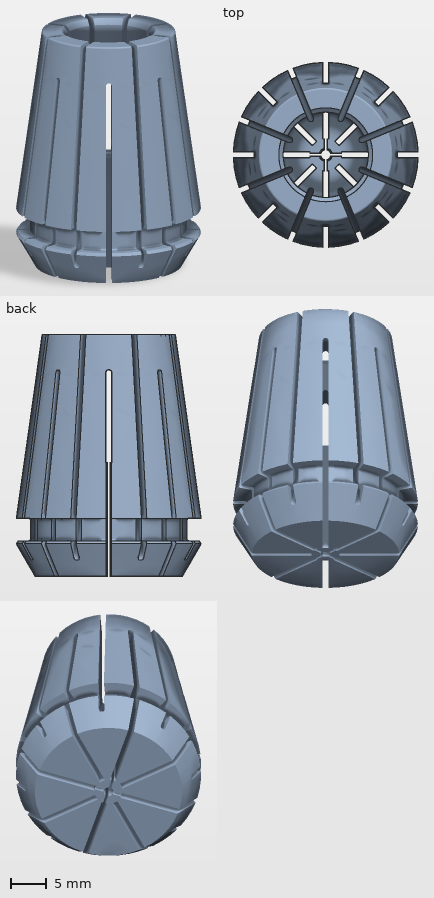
import cadquery as cq
import math

height = 34.0
max_radius = 13.0
overshoot = 1.7

body_taper_angle = 8.0
nose_angle = 30.0
lip_z = 4.6
lip_chamfer = 0.27
lip_chamfer_height = 0.4
groove_bottom_z = lip_z + lip_chamfer_height
groove_top_z = 8.15
groove_radius = 11.0
groove_fillet = 0.25
nose_radius = max_radius - lip_z * math.tan(math.radians(nose_angle))
top_radius = max_radius - (height - groove_top_z) * math.tan(math.radians(body_taper_angle))
top_edge_fillet = 0.27

floor_z = 16.0
bore_radius = 6.0
floor_fillet = 0.78
mouth_widening = 0.6
mouth_depth = 0.85
pilot_radius = 0.7
pilot_chamfer = 0.2

slots_per_end = 8
slot_angle = 360.0 / slots_per_end
slot_width = 0.8
lower_slot_top_z = 29.0
core_radius = 2.25
runout_z = 11.42
runout_radius = 34.0
slit_width = 0.37
upper_slot_inner = (5.05, floor_z)
upper_slot_outer = (11.6, 2.28)


def collet_blank():
    """Turned outside of the collet."""
    blank = (
        cq.Workplane("XZ")
        .polyline([
            (0, 0),
            (nose_radius, 0),
            (max_radius, lip_z),
            (max_radius - lip_chamfer, groove_bottom_z),
            (groove_radius, groove_bottom_z),
            (groove_radius, groove_top_z),
            (max_radius, groove_top_z),
            (top_radius, height),
            (0, height),
        ])
        .close()
        .revolve(360, (0, 0, 0), (0, 1, 0))
    )
    blank = blank.faces(">Z").edges().fillet(top_edge_fillet)
    groove_zone = cq.selectors.BoxSelector(
        (-max_radius, -max_radius, groove_bottom_z - overshoot),
        (max_radius, max_radius, groove_top_z + overshoot),
    )
    smallest_circles = cq.selectors.RadiusNthSelector(0)
    return blank.edges("%CIRCLE").edges(groove_zone).edges(smallest_circles).fillet(groove_fillet)


def cone(bottom_radius, bottom_z, widening, depth):
    """Upward-opening lead-in cone."""
    return cq.Workplane(
        cq.Solid.makeCone(bottom_radius, bottom_radius + widening, depth, pnt=(0, 0, bottom_z))
    )


def bore_cutter():
    """Stepped bore: wide upper bore with a rounded floor, pilot hole and both lead-in chamfers."""
    upper_bore = (
        cq.Workplane("XY")
        .workplane(offset=floor_z)
        .circle(bore_radius)
        .extrude(height - floor_z)
        .faces("<Z")
        .edges()
        .fillet(floor_fillet)
    )
    mouth = cone(bore_radius, height - mouth_depth, mouth_widening, mouth_depth)
    pilot = cq.Workplane("XY").circle(pilot_radius).extrude(floor_z + overshoot)
    pilot_mouth = cone(pilot_radius, floor_z - pilot_chamfer, pilot_chamfer, pilot_chamfer)
    return upper_bore.union(mouth).union(pilot).union(pilot_mouth)


def lower_slot():
    """Radial slot along +X, open at the nose, with a round top end and a curved inner end at the core."""
    arc_z = lower_slot_top_z - slot_width / 2
    opening = (
        cq.Workplane("YZ")
        .moveTo(-slot_width / 2, -overshoot)
        .lineTo(slot_width / 2, -overshoot)
        .lineTo(slot_width / 2, arc_z)
        .threePointArc((0, lower_slot_top_z), (-slot_width / 2, arc_z))
        .close()
        .extrude(max_radius + overshoot)
    )

    def flare(level):
        """Growth of the core radius at a level within the run-out arc."""
        rise = level - runout_z
        return runout_radius - math.sqrt(runout_radius**2 - rise**2)

    foot_radius = core_radius - flare(floor_z)
    middle_z = (runout_z + floor_z) / 2
    outside = max_radius + overshoot
    reach = (
        cq.Workplane("XZ")
        .moveTo(foot_radius, -overshoot)
        .lineTo(foot_radius, runout_z)
        .threePointArc((foot_radius + flare(middle_z), middle_z), (core_radius, floor_z))
        .lineTo(core_radius, height)
        .lineTo(outside, height)
        .lineTo(outside, -overshoot)
        .close()
        .extrude(slot_width, both=True)
    )
    return opening.intersect(reach)


def upper_slot():
    """Radial slot along +X, open at the top, with a round floor that slopes down and outward."""
    run = upper_slot_outer[0] - upper_slot_inner[0]
    drop = upper_slot_inner[1] - upper_slot_outer[1]
    length = math.hypot(run, drop)
    half_width = slot_width / 2

    def along(distance):
        """Point on the axis of the round floor, measured from its inner end."""
        radius = upper_slot_inner[0] + (run * distance + drop * half_width) / length
        level = upper_slot_inner[1] + (run * half_width - drop * distance) / length
        return radius, level

    start = along(-length)
    end = along(length)
    outside = max_radius + overshoot
    above = height + overshoot
    slab = (
        cq.Workplane("XZ")
        .polyline([start, end, (outside, end[1]), (outside, above), (start[0], above)])
        .close()
        .extrude(half_width, both=True)
    )
    round_floor = cq.Solid.makeCylinder(
        half_width, 2 * length, cq.Vector(start[0], 0, start[1]), cq.Vector(run, 0, -drop)
    )
    return slab.union(cq.Workplane(round_floor))


def cut_around(body, cutter, first_angle):
    """Cut one slot shape at every slot position."""
    for index in range(slots_per_end):
        angle = first_angle + index * slot_angle
        body = body.cut(cutter.rotate((0, 0, 0), (0, 0, 1), angle))
    return body


def cross_slits():
    """Two crossed slits that split the core into quarters and run into the wider lower slots."""
    slit_length = 2 * core_radius + slot_width
    along_x = cq.Workplane("XY").box(slit_length, slit_width, 2 * height)
    along_y = cq.Workplane("XY").box(slit_width, slit_length, 2 * height)
    return along_x.union(along_y)


result = collet_blank().cut(bore_cutter())
result = cut_around(result, lower_slot(), 0)
result = cut_around(result, upper_slot(), slot_angle / 2)
result = result.cut(cross_slits())